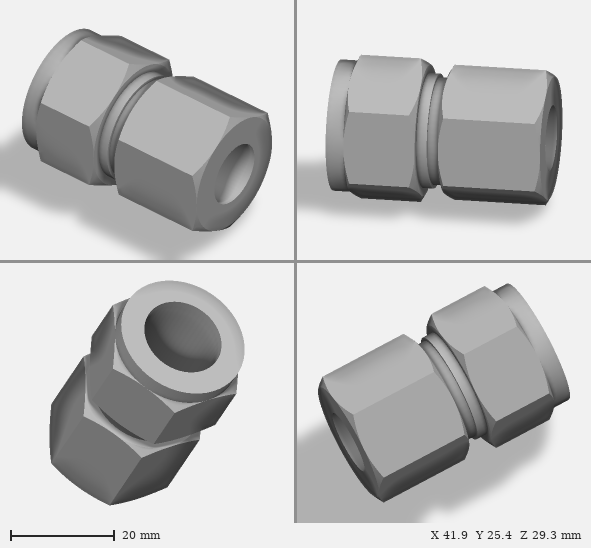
import cadquery as cq
import math

total_length = 41.9
nut_across_flats = 25.4
body_across_flats = 23.9

nut_hex_start = 3.48
nut_hex_end = 17.48
collar_end = 19.55
body_hex_start = 21.88

collar_diameter = 22.2
neck_diameter = 20.8

socket_diameter = 15.9
socket_depth = body_hex_start
passage_diameter = 12.7

hexagon_sides = 6
corner_chamfer_angle = 30.0


def cylinder(diameter, start, end):
    """Solid cylinder on the X axis between two stations."""
    return cq.Workplane("YZ", origin=(start, 0, 0)).circle(diameter / 2).extrude(end - start)


def chamfered_hexagon(across_flats, start, end):
    """Hexagonal bar with corners up and down (+Z, -Z), its corners cut conically at both ends."""
    across_corners = across_flats / math.cos(math.pi / hexagon_sides)
    flat_radius = across_flats / 2
    corner_radius = across_corners / 2
    chamfer_length = (corner_radius - flat_radius) * math.tan(math.radians(corner_chamfer_angle))

    prism = (
        cq.Workplane("YZ", origin=(start, 0, 0))
        .transformed(rotate=(0, 0, 90))
        .polygon(hexagon_sides, across_corners)
        .extrude(end - start)
    )
    envelope = (
        cq.Workplane("XY")
        .moveTo(start, 0)
        .lineTo(start, flat_radius)
        .lineTo(start + chamfer_length, corner_radius)
        .lineTo(end - chamfer_length, corner_radius)
        .lineTo(end, flat_radius)
        .lineTo(end, 0)
        .close()
        .revolve(360, (0, 0, 0), (1, 0, 0))
    )
    return prism.intersect(envelope)


nut_flange = cylinder(nut_across_flats, 0, nut_hex_start)
nut_hexagon = chamfered_hexagon(nut_across_flats, nut_hex_start, nut_hex_end)

collar = cylinder(collar_diameter, nut_hex_end, collar_end)
neck = cylinder(neck_diameter, collar_end, body_hex_start)
body_hexagon = chamfered_hexagon(body_across_flats, body_hex_start, total_length)

fitting = nut_flange.union(nut_hexagon).union(collar).union(neck).union(body_hexagon)

socket = cylinder(socket_diameter, 0, socket_depth)
passage = cylinder(passage_diameter, 0, total_length)

result = fitting.cut(socket).cut(passage)